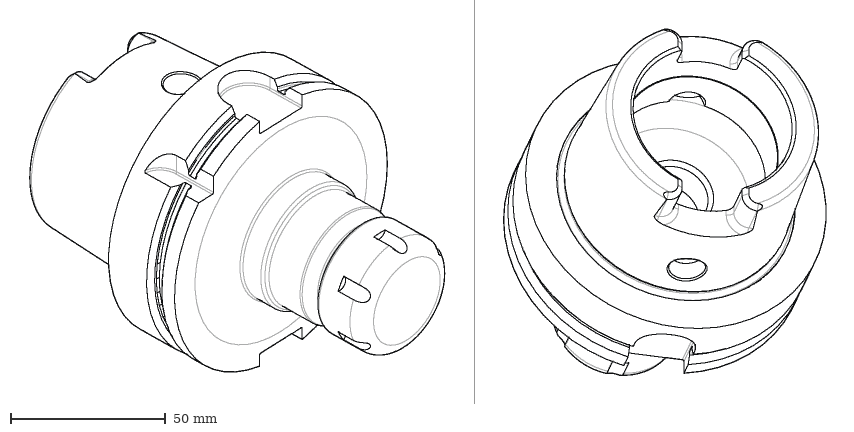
import cadquery as cq
import math


LENGTH = 135.0
TAPER_END = 47.2
FLANGE_START = 49.8
FLANGE_END = 79.1
COLLAR_START = 83.3
COLLAR_END = 92.7
NECK_CONE_END = 111.9
NUT_START = 114.8

TAPER_TIP_R = 35.4
TAPER_ROOT_R = 37.8
FLANGE_R = 50.02
BACK_CONE_R = 40.4
COLLAR_R = 23.0
BODY_R = 21.0
NECK_R = 17.0

TIP_ROUND = 1.8
COLLAR_FOOT_ROUND = 0.8
NECK_ROUND = 1.0

COLLAR_ROUND = (COLLAR_R - BODY_R) / 2
NECK_CONE_START = NECK_CONE_END - (BODY_R - NECK_R)

RELIEF_CONE = 1.0
RELIEF_R = 37.4
RELIEF_DEPTH = 1.0
RELIEF_ROUND = 1.6
RELIEF_OUTER_R = 39.7

GROOVE_START = 66.7
GROOVE_END = 73.5
GROOVE_FLOOR_START = 68.0
GROOVE_FLOOR_END = 71.5
GROOVE_SIDE_R = 47.7
GROOVE_R = 46.2
GROOVE_ROUND = 0.7

BORE_R = 26.5
BORE_MOUTH_CHAMFER = 1.1
BORE_DEPTH = 19.5
LIP_R = 26.2
LIP_END = 35.4
UNDERCUT_R = 31.2
UNDERCUT_SHOULDER_ANGLE = math.radians(30)
UNDERCUT_START = LIP_END + (UNDERCUT_R - LIP_R) * math.tan(UNDERCUT_SHOULDER_ANGLE)
BORE_FLOOR = FLANGE_START
BORE_FLOOR_R = 24.5
CENTRE_HOLE_R = 11.1
CENTRE_HOLE_CHAMFER = 1.5
CENTRE_HOLE_DEPTH = 13.5

DRIVE_SLOT_WIDTH = 20.0
DRIVE_LAND_HEIGHT = 32.0
DRIVE_CORNER_R = 5.0
UPPER_DRIVE_DEPTH = 10.0
LOWER_DRIVE_DEPTH = 14.8
DRIVE_FLOOR_ROUND = 2.0
DRIVE_MOUTH_CHAMFER = 1.8

CROSS_HOLE_X = 35.0
CROSS_HOLE_R = 6.0
CROSS_HOLE_CHAMFER = 0.5

KEY_SLOT_TIP = 54.8
KEY_SLOT_WIDTH = 20.0
KEY_SLOT_FLOOR = 44.0
NOTCH_FLOOR = 31.7
NOTCH_END_R = 8.0
SLOT_FLOOR_ROUND = 0.5

NUT_BACK_ROUND = 1.1
NUT_FRONT_ROUND = 5.4
SPANNER_SLOTS = 6
SPANNER_SLOT_START = 122.8
SPANNER_SLOT_WIDTH = 5.4
SPANNER_SLOT_FLOOR_R = 18.8

CUT_CLEARANCE = 1.4


def revolve_about_x(profile):
    return profile.close().revolve(360, (0, 0, 0), (1, 0, 0))


def arc_middle(centre_x, centre_r, radius, side_x, side_r):
    """Middle point of a quarter arc on the given side of its centre."""
    reach = radius / math.sqrt(2)
    return (centre_x + side_x * reach, centre_r + side_r * reach)


def circles_at(x):
    """Selector for the turned edges whose centre lies on the axis at x."""
    near = 0.07
    return cq.selectors.BoxSelector((x - near, -near, -near), (x + near, near, near))


def holder_blank():
    relief_floor = FLANGE_START + RELIEF_DEPTH
    relief_round_x = relief_floor - RELIEF_ROUND
    collar_round_x = COLLAR_END - COLLAR_ROUND
    body_start = COLLAR_END + COLLAR_ROUND
    profile = (
        cq.Workplane("XY")
        .lineTo(0, TAPER_TIP_R - TIP_ROUND)
        .threePointArc(
            arc_middle(TIP_ROUND, TAPER_TIP_R - TIP_ROUND, TIP_ROUND, -1, 1),
            (TIP_ROUND, TAPER_TIP_R),
        )
        .lineTo(TAPER_END, TAPER_ROOT_R)
        .lineTo(TAPER_END + RELIEF_CONE, RELIEF_R)
        .lineTo(relief_round_x, RELIEF_R)
        .threePointArc(
            arc_middle(relief_round_x, RELIEF_R + RELIEF_ROUND, RELIEF_ROUND, 1, -1),
            (relief_floor, RELIEF_R + RELIEF_ROUND),
        )
        .lineTo(relief_floor, RELIEF_OUTER_R)
        .lineTo(FLANGE_START, RELIEF_OUTER_R)
        .lineTo(FLANGE_START, FLANGE_R)
        .lineTo(FLANGE_END, FLANGE_R)
        .lineTo(FLANGE_END, BACK_CONE_R)
        .lineTo(COLLAR_START, COLLAR_R)
        .lineTo(collar_round_x, COLLAR_R)
        .threePointArc(
            arc_middle(collar_round_x, COLLAR_R - COLLAR_ROUND, COLLAR_ROUND, 1, 1),
            (COLLAR_END, COLLAR_R - COLLAR_ROUND),
        )
        .threePointArc(
            arc_middle(body_start, BODY_R + COLLAR_ROUND, COLLAR_ROUND, -1, -1),
            (body_start, BODY_R),
        )
        .lineTo(NECK_CONE_START, BODY_R)
        .lineTo(NECK_CONE_END, NECK_R)
        .lineTo(NUT_START, NECK_R)
        .lineTo(NUT_START, 0)
    )
    blank = revolve_about_x(profile)
    blank = blank.edges(circles_at(COLLAR_START)).fillet(COLLAR_FOOT_ROUND)
    for corner_x in (NECK_CONE_START, NECK_CONE_END):
        blank = blank.edges(circles_at(corner_x)).fillet(NECK_ROUND)
    return blank


def gripper_groove():
    clear_r = FLANGE_R + CUT_CLEARANCE
    round_r = GROOVE_R + GROOVE_ROUND
    floor_start = GROOVE_FLOOR_START + GROOVE_ROUND
    floor_end = GROOVE_FLOOR_END - GROOVE_ROUND
    profile = (
        cq.Workplane("XY")
        .moveTo(GROOVE_START, clear_r)
        .lineTo(GROOVE_START, FLANGE_R)
        .lineTo(GROOVE_FLOOR_START, GROOVE_SIDE_R)
        .lineTo(GROOVE_FLOOR_START, round_r)
        .threePointArc(
            arc_middle(floor_start, round_r, GROOVE_ROUND, -1, -1),
            (floor_start, GROOVE_R),
        )
        .lineTo(floor_end, GROOVE_R)
        .threePointArc(
            arc_middle(floor_end, round_r, GROOVE_ROUND, 1, -1),
            (GROOVE_FLOOR_END, round_r),
        )
        .lineTo(GROOVE_FLOOR_END, GROOVE_SIDE_R)
        .lineTo(GROOVE_END, FLANGE_R)
        .lineTo(GROOVE_END, clear_r)
    )
    return revolve_about_x(profile)


def bore():
    floor_round = UNDERCUT_R - BORE_FLOOR_R
    floor_round_x = BORE_FLOOR - floor_round
    hole_end = BORE_FLOOR + CENTRE_HOLE_DEPTH
    profile = (
        cq.Workplane("XY")
        .lineTo(0, BORE_R + BORE_MOUTH_CHAMFER)
        .lineTo(BORE_MOUTH_CHAMFER, BORE_R)
        .lineTo(BORE_DEPTH, BORE_R)
        .lineTo(BORE_DEPTH, LIP_R)
        .lineTo(LIP_END, LIP_R)
        .lineTo(UNDERCUT_START, UNDERCUT_R)
        .lineTo(floor_round_x, UNDERCUT_R)
        .threePointArc(
            arc_middle(floor_round_x, BORE_FLOOR_R, floor_round, 1, 1),
            (BORE_FLOOR, BORE_FLOOR_R),
        )
        .lineTo(BORE_FLOOR, CENTRE_HOLE_R + CENTRE_HOLE_CHAMFER)
        .lineTo(BORE_FLOOR + CENTRE_HOLE_CHAMFER, CENTRE_HOLE_R)
        .lineTo(hole_end, CENTRE_HOLE_R)
        .lineTo(hole_end, 0)
    )
    return revolve_about_x(profile)


def drive_slot_outline(offset):
    """Slot that flares through rounded corners into flat lands, widened by offset."""
    half_width = DRIVE_SLOT_WIDTH / 2 + offset
    land = DRIVE_LAND_HEIGHT - offset
    corner = DRIVE_CORNER_R - offset
    clear = FLANGE_R
    return (
        cq.Workplane("YZ")
        .moveTo(-half_width, 0)
        .lineTo(-half_width, land - corner)
        .threePointArc(
            arc_middle(-half_width - corner, land - corner, corner, 1, 1),
            (-half_width - corner, land),
        )
        .lineTo(-clear, land)
        .lineTo(-clear, clear)
        .lineTo(clear, clear)
        .lineTo(clear, land)
        .lineTo(half_width + corner, land)
        .threePointArc(
            arc_middle(half_width + corner, land - corner, corner, -1, 1),
            (half_width, land - corner),
        )
        .lineTo(half_width, 0)
        .close()
    )


def drive_slot(depth):
    slot = drive_slot_outline(0).extrude(depth)
    slot = slot.faces(">X").edges().fillet(DRIVE_FLOOR_ROUND)
    mouth = drive_slot_outline(DRIVE_MOUTH_CHAMFER).extrude(DRIVE_MOUTH_CHAMFER, taper=45)
    return slot.union(mouth)


def key_slot():
    """Round-ended slot on the top of the flange, open towards the nut."""
    end_r = KEY_SLOT_WIDTH / 2
    end_x = KEY_SLOT_TIP + end_r
    slot = (
        cq.Workplane("XY", origin=(0, 0, KEY_SLOT_FLOOR))
        .moveTo(FLANGE_END + CUT_CLEARANCE, -end_r)
        .lineTo(end_x, -end_r)
        .threePointArc((KEY_SLOT_TIP, 0), (end_x, end_r))
        .lineTo(FLANGE_END + CUT_CLEARANCE, end_r)
        .close()
        .extrude(FLANGE_R - KEY_SLOT_FLOOR)
    )
    return slot.faces("<Z").edges("not >X").fillet(SLOT_FLOOR_ROUND)


def corner_notch():
    """Notch with a level floor, an upright wall facing -Y and a rounded end."""
    end_x = KEY_SLOT_TIP + NOTCH_END_R
    end_y = -NOTCH_FLOOR - NOTCH_END_R
    notch = (
        cq.Workplane("XY", origin=(0, 0, NOTCH_FLOOR))
        .moveTo(FLANGE_END + CUT_CLEARANCE, -NOTCH_FLOOR)
        .lineTo(end_x, -NOTCH_FLOOR)
        .threePointArc(
            arc_middle(end_x, end_y, NOTCH_END_R, -1, 1),
            (KEY_SLOT_TIP, end_y),
        )
        .lineTo(KEY_SLOT_TIP, -FLANGE_R)
        .lineTo(FLANGE_END + CUT_CLEARANCE, -FLANGE_R)
        .close()
        .extrude(FLANGE_R - NOTCH_FLOOR)
    )
    return notch.faces("<Z").edges("not (>X or <Y)").fillet(SLOT_FLOOR_ROUND)


def cross_hole():
    return cq.Workplane("XY").center(CROSS_HOLE_X, 0).circle(CROSS_HOLE_R).extrude(FLANGE_R, both=True)


def chamfer_cross_hole(holder):
    """Break the two outer rims of the cross hole."""
    for side in (1, -1):
        rim = cq.selectors.NearestToPointSelector((CROSS_HOLE_X, 0, side * FLANGE_R))
        holder = holder.edges(rim).chamfer(CROSS_HOLE_CHAMFER)
    return holder


def build_holder():
    holder = holder_blank().cut(bore()).cut(cross_hole())
    holder = chamfer_cross_hole(holder).cut(gripper_groove())
    holder = holder.cut(drive_slot(UPPER_DRIVE_DEPTH))
    holder = holder.cut(drive_slot(LOWER_DRIVE_DEPTH).rotate((0, 0, 0), (1, 0, 0), 180))
    holder = holder.cut(corner_notch())
    key = key_slot()
    holder = holder.cut(key).cut(key.rotate((0, 0, 0), (1, 0, 0), 180))
    return holder


def build_nut():
    nut = cq.Workplane("YZ", origin=(NUT_START, 0, 0)).circle(BODY_R).extrude(LENGTH - NUT_START)
    nut = nut.faces("<X").edges().fillet(NUT_BACK_ROUND)
    nut = nut.faces(">X").edges().fillet(NUT_FRONT_ROUND)
    slot_r = SPANNER_SLOT_WIDTH / 2
    for slot_index in range(SPANNER_SLOTS):
        slot = (
            cq.Workplane("YZ", origin=(SPANNER_SLOT_START, 0, SPANNER_SLOT_FLOOR_R + slot_r))
            .circle(slot_r)
            .extrude(LENGTH - SPANNER_SLOT_START)
            .rotate((0, 0, 0), (1, 0, 0), slot_index * 360 / SPANNER_SLOTS)
        )
        nut = nut.cut(slot)
    return nut


holder = build_holder()
nut = build_nut()
result = cq.Compound.makeCompound([holder.val(), nut.val()])